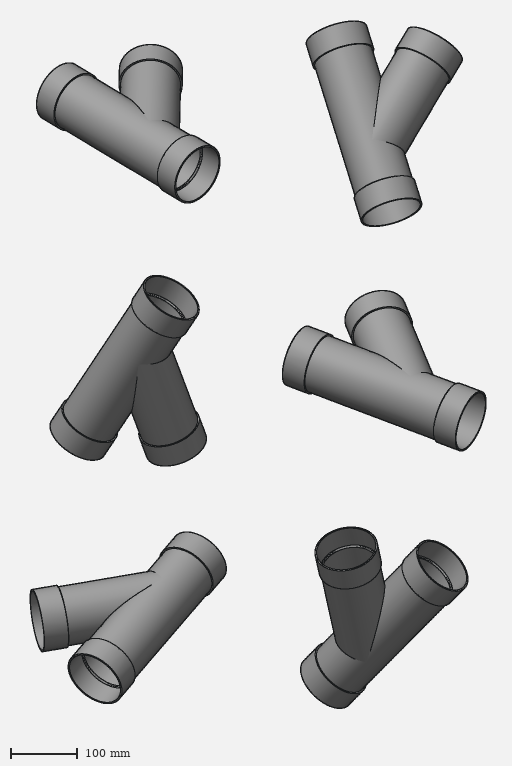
import cadquery as cq


pipe_diameter = 90.0
bore_diameter = 85.0
socket_diameter = 95.0
run_length = 297.0
inlet_length = 193.5
branch_length = 193.64
branch_angle = 45.0
socket_depth = 35.0

outlet_length = run_length - inlet_length
socket_bore = pipe_diameter
stop_taper_length = (socket_bore - bore_diameter) / 2
socket_length = socket_depth + stop_taper_length


def along_x(diameter, start, length):
    """Cylinder on the X axis running from start towards +X."""
    return cq.Workplane("YZ").workplane(offset=start).circle(diameter / 2).extrude(length)


def arm_outside(length):
    """Pipe from the junction towards +X, ending in a wider socket."""
    pipe = along_x(pipe_diameter, 0, length)
    socket = along_x(socket_diameter, length - socket_length, socket_length)
    return pipe.union(socket)


def arm_inside(length):
    """Hollow of one arm: the bore, a conical stop and the wider recess, revolved about X."""
    recess_start = length - socket_depth
    taper_start = length - socket_length
    half_section = (
        cq.Workplane("XY")
        .moveTo(0, 0)
        .lineTo(0, bore_diameter / 2)
        .lineTo(taper_start, bore_diameter / 2)
        .lineTo(recess_start, socket_bore / 2)
        .lineTo(length, socket_bore / 2)
        .lineTo(length, 0)
        .close()
    )
    return half_section.revolve(360, (0, 0, 0), (1, 0, 0))


def turned(arm, angle):
    """Swing an arm about the vertical axis through the junction."""
    return arm.rotate((0, 0, 0), (0, 0, 1), angle)


arms = [
    (outlet_length, 0.0),
    (inlet_length, 180.0),
    (branch_length, 180.0 - branch_angle),
]

fitting = cq.Workplane("XY")
for arm_length, arm_angle in arms:
    fitting = fitting.union(turned(arm_outside(arm_length), arm_angle))
for arm_length, arm_angle in arms:
    fitting = fitting.cut(turned(arm_inside(arm_length), arm_angle))

result = fitting